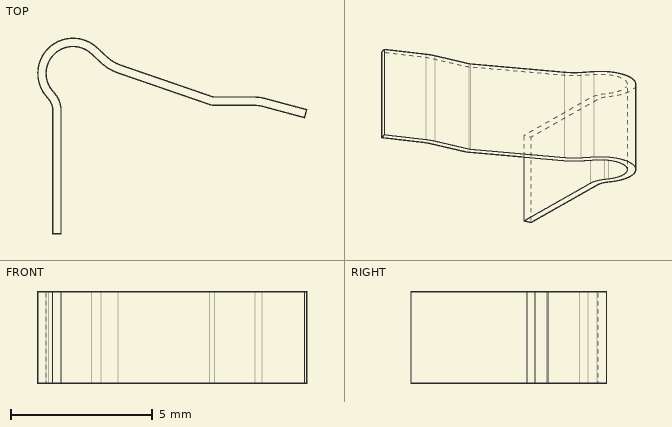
import cadquery as cq
import math

thickness = 0.30
width = 3.25

leg_length = 4.365
neck_length = 0.146
shoulder_length = 0.47
ramp_length = 3.43
contact_length = 1.435
tip_length = 1.555

leg_bend_radius = 0.62
loop_radius = 0.95
shoulder_bend_radius = 1.40
ramp_bend_radius = 0.20
tip_bend_radius = 1.00

leg_direction = 90.0
neck_direction = 130.0
shoulder_direction = -43.0
ramp_direction = -19.0
contact_direction = 0.0
tip_direction = -15.0

no_bend = None
runs = [
    (leg_length, leg_direction, no_bend),
    (neck_length, neck_direction, leg_bend_radius),
    (shoulder_length, shoulder_direction, loop_radius),
    (ramp_length, ramp_direction, shoulder_bend_radius),
    (contact_length, contact_direction, ramp_bend_radius),
    (tip_length, tip_direction, tip_bend_radius),
]


def polar(center, radius, angle):
    """Point at a radius and an angle in degrees from a center."""
    radians = math.radians(angle)
    return (center[0] + radius * math.cos(radians), center[1] + radius * math.sin(radians))


def trace_face(start, side):
    """Trace one face of the strip, on the left (+1) or right (-1) of the direction of travel.

    Each element is a line (end,) or an arc (middle, end).
    """
    point = polar(start, side * thickness / 2, leg_direction + 90)
    elements = [(point,)]
    previous_direction = leg_direction
    for length, direction, bend_radius in runs:
        if bend_radius is not None:
            turn = direction - previous_direction
            turn_side = math.copysign(1, turn)
            on_concave_face = side == turn_side
            radius = bend_radius if on_concave_face else bend_radius + thickness
            center = polar(point, turn_side * radius, previous_direction + 90)
            middle_direction = previous_direction + turn / 2
            middle = polar(center, -turn_side * radius, middle_direction + 90)
            point = polar(center, -turn_side * radius, direction + 90)
            elements.append((middle, point))
        point = polar(point, length, direction)
        elements.append((point,))
        previous_direction = direction
    return elements


def make_profile(start):
    """Closed outline: along the left face, across the tip, back along the right face."""
    left_face = trace_face(start, 1)
    right_face = trace_face(start, -1)
    profile = cq.Workplane("XY").moveTo(*left_face[0][0])
    for element in left_face[1:]:
        if len(element) == 1:
            profile = profile.lineTo(*element[0])
        else:
            profile = profile.threePointArc(*element)
    profile = profile.lineTo(*right_face[-1][-1])
    for index in range(len(right_face) - 1, 0, -1):
        element = right_face[index]
        element_start = right_face[index - 1][-1]
        if len(element) == 1:
            profile = profile.lineTo(*element_start)
        else:
            profile = profile.threePointArc(element[0], element_start)
    return profile.close()


leg_foot = (0.0, 0.0)
result = make_profile(leg_foot).extrude(width)